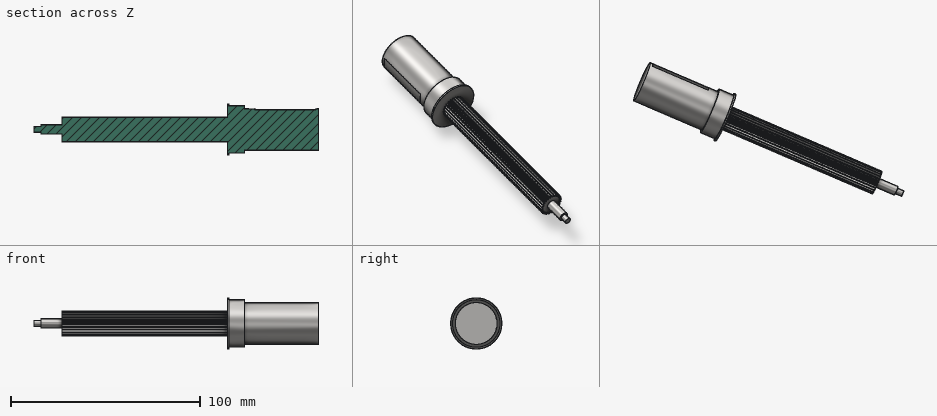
import cadquery as cq
import math

tip_length = 3.7
journal_length = 11.0
pinion_length = 87.1
flange_thickness = 0.9
collar_length = 8.2
body_length = 39.0

tip_diameter = 3.2
journal_diameter = 5.0
flange_diameter = 27.0
collar_diameter = 25.0
body_diameter = 22.0

tooth_count = 24
gear_module = 0.5
addendum = gear_module
dedendum = 1.25 * gear_module
pitch_radius = gear_module * tooth_count / 2
outer_radius = pitch_radius + addendum
root_radius = pitch_radius - dedendum
pressure_angle = math.radians(20)
base_radius = pitch_radius * math.cos(pressure_angle)
root_tooth_angle = math.radians(10.4)

flat_depth = 0.5
flat_length = 32.0
flat_end_margin = 1.5

pinion_start = -pinion_length
journal_start = pinion_start - journal_length
tip_start = journal_start - tip_length
collar_start = flange_thickness
body_start = collar_start + collar_length
body_end = body_start + body_length


def cylinder(start, end, diameter):
    """Solid cylinder on the X axis."""
    return (
        cq.Workplane("XZ")
        .moveTo(start, 0)
        .lineTo(start, diameter / 2)
        .lineTo(end, diameter / 2)
        .lineTo(end, 0)
        .close()
        .revolve(360, (0, 0, 0), (1, 0, 0))
    )


def polar(radius, angle):
    """Point at a radius and angle about the axis."""
    return (radius * math.cos(angle), radius * math.sin(angle))


def involute(radius):
    """Involute angle where the tooth flank crosses the given radius."""
    flank_angle = math.acos(base_radius / radius)
    return math.tan(flank_angle) - flank_angle


def tooth_half_angle(radius):
    """Half of the angle that one tooth spans at the given radius."""
    return math.pi / (2 * tooth_count) + involute(pitch_radius) - involute(radius)


def pinion():
    """Long pinion with involute teeth, one of them centred on +Y."""
    tooth_pitch = 2 * math.pi / tooth_count
    tip_half = tooth_half_angle(outer_radius)
    pitch_half = tooth_half_angle(pitch_radius)
    root_half = root_tooth_angle / 2

    outline = cq.Workplane("YZ", origin=(pinion_start, 0, 0))
    outline = outline.moveTo(*polar(root_radius, -root_half))
    for tooth in range(tooth_count):
        centre = tooth * tooth_pitch
        next_centre = centre + tooth_pitch
        outline = (
            outline.threePointArc(polar(pitch_radius, centre - pitch_half), polar(outer_radius, centre - tip_half))
            .threePointArc(polar(outer_radius, centre), polar(outer_radius, centre + tip_half))
            .threePointArc(polar(pitch_radius, centre + pitch_half), polar(root_radius, centre + root_half))
            .threePointArc(
                polar(root_radius, centre + tooth_pitch / 2),
                polar(root_radius, next_centre - root_half),
            )
        )
    return outline.close().extrude(pinion_length)


def body_flat():
    """Block that cuts the flat into the +Y side of the body."""
    flat_end = body_end - flat_end_margin
    body_radius = body_diameter / 2
    return (
        cq.Workplane("XY")
        .box(flat_length, body_radius, body_diameter, centered=(False, False, True))
        .translate((flat_end - flat_length, body_radius - flat_depth, 0))
    )


result = (
    cylinder(tip_start, journal_start, tip_diameter)
    .union(cylinder(journal_start, pinion_start, journal_diameter))
    .union(pinion())
    .union(cylinder(0, flange_thickness, flange_diameter))
    .union(cylinder(collar_start, body_start, collar_diameter))
    .union(cylinder(body_start, body_end, body_diameter))
    .cut(body_flat())
)